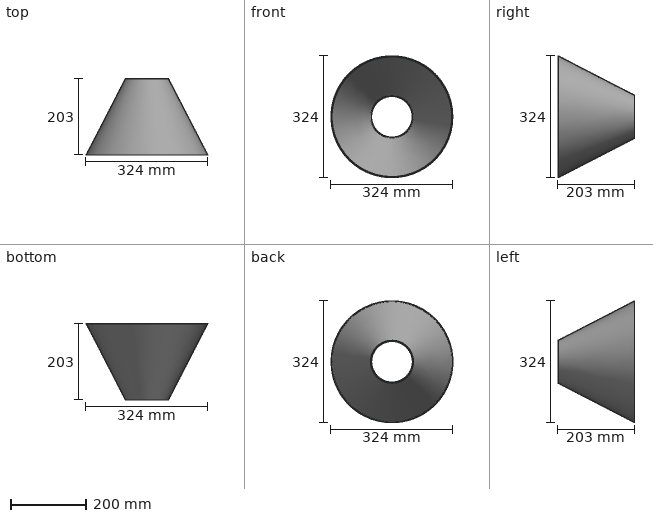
import cadquery as cq

wide_diameter = 324.0
narrow_diameter = 114.3
length = 203.0
radial_wall = 3.2

wide_radius = wide_diameter / 2
narrow_radius = narrow_diameter / 2
wide_end = -length / 2
narrow_end = length / 2

wall_section = (
    cq.Workplane("XY")
    .moveTo(wide_radius, wide_end)
    .lineTo(narrow_radius, narrow_end)
    .lineTo(narrow_radius - radial_wall, narrow_end)
    .lineTo(wide_radius - radial_wall, wide_end)
    .close()
)

result = wall_section.revolve(360, (0, 0, 0), (0, 1, 0))